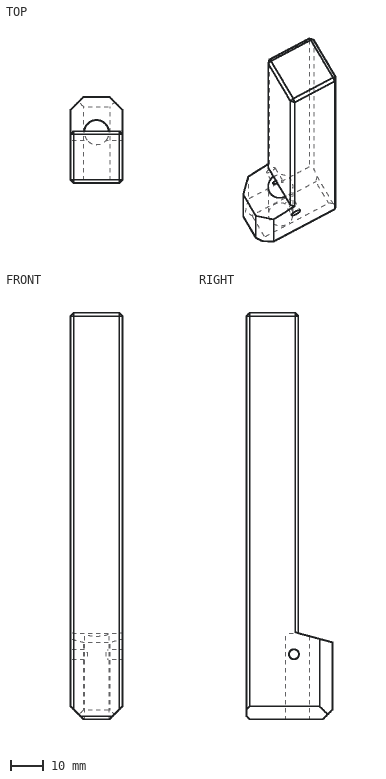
import cadquery as cq
import math

width = 16.0
depth = 26.5
height = 125.0
shaft_depth = 16.0

foot_slope = 15.0
shoulder_height = 26.5
foot_chamfer = 4.0
heel_chamfer = 3.0

edge_chamfer = 1.0

cord_hole_diameter = 7.5
cord_hole_y = 15.6
pin_hole_diameter = 3.0
pin_hole_y = 14.6
pin_hole_z = 20.0


def make_shaft():
    """Square bar with chamfered upright and top edges."""
    bar = cq.Workplane("XY").box(width, shaft_depth, height, centered=(True, False, False))
    return bar.edges("|Z or >Z").chamfer(edge_chamfer)


def make_foot():
    """Block under the shaft, with a sloped top behind it and chamfered back corners."""
    slope = math.tan(math.radians(foot_slope))
    slope_start = shaft_depth - edge_chamfer
    top = shoulder_height + edge_chamfer * slope
    back_top = shoulder_height - (depth - shaft_depth) * slope
    side_profile = [(0, 0), (depth, 0), (depth, back_top), (slope_start, top), (0, top)]
    block = cq.Workplane("YZ").polyline(side_profile).close().extrude(width / 2, both=True)
    block = block.faces(">Y").edges("|Z").chamfer(foot_chamfer)
    return block.faces("<Y").edges("|Z").chamfer(edge_chamfer)


def chamfer_bottom(body):
    """Bevel the sides, back and front of the underside, each by its own amount."""
    side_outline = [
        (0, edge_chamfer),
        (edge_chamfer, 0),
        (depth - heel_chamfer, 0),
        (depth, heel_chamfer),
        (depth, height),
        (0, height),
    ]
    front_outline = [
        (-width / 2, foot_chamfer),
        (-width / 2 + foot_chamfer, 0),
        (width / 2 - foot_chamfer, 0),
        (width / 2, foot_chamfer),
        (width / 2, height),
        (-width / 2, height),
    ]
    side_limit = cq.Workplane("YZ").polyline(side_outline).close().extrude(width / 2, both=True)
    front_limit = cq.Workplane("XZ").polyline(front_outline).close().extrude(-depth)
    return body.intersect(side_limit).intersect(front_limit)


def drill_holes(body):
    """Upright cord hole, about half under the shaft, and a cross hole for a pin."""
    cord_hole = (
        cq.Workplane("XY")
        .center(0, cord_hole_y)
        .circle(cord_hole_diameter / 2)
        .extrude(shoulder_height)
    )
    pin_hole = (
        cq.Workplane("YZ")
        .center(pin_hole_y, pin_hole_z)
        .circle(pin_hole_diameter / 2)
        .extrude(width / 2, both=True)
    )
    return body.cut(cord_hole).cut(pin_hole)


result = drill_holes(chamfer_bottom(make_shaft().union(make_foot())))